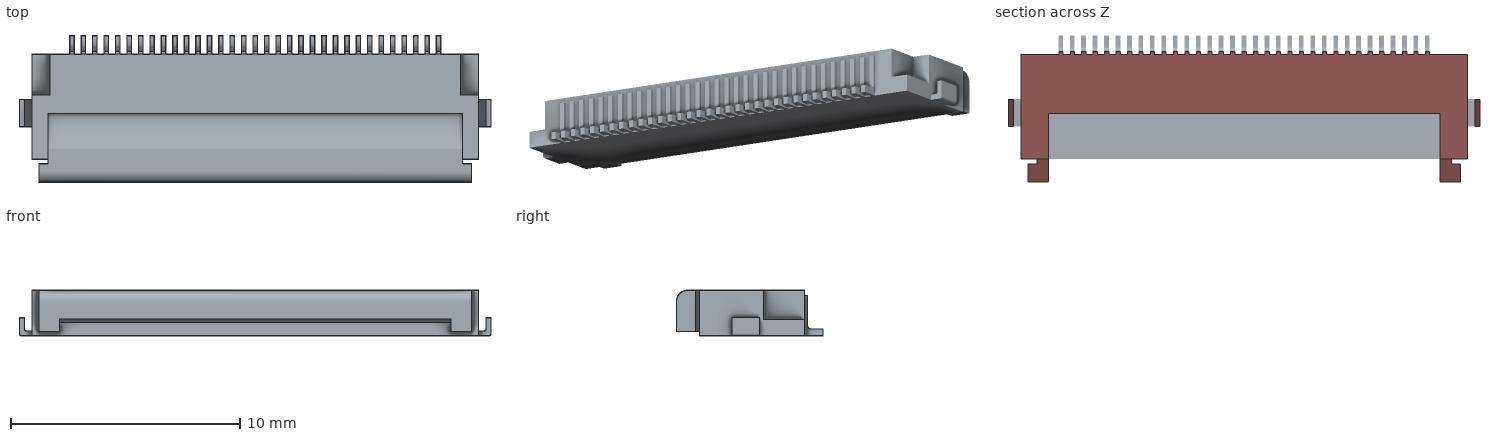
import cadquery as cq

overall_width = 20.6
height = 2.0

housing_width = 19.5
housing_depth = 4.6
step_width = 0.8
step_depth = 1.8
step_height = 0.72

slot_width = 17.08
slot_bottom = 0.6
slot_top = 0.75

tongue_width = 18.1
tongue_rear = 2.6
slope_front = 4.16
slope_drop = 0.3
bar_width = 18.9
bar_front = 5.6
bar_gap = 0.19
bar_round = 0.5
bar_bottom = 0.19

contact_count = 33
contact_row = 16.0
contact_width = 0.2
contact_reach = 0.8
contact_top = 1.77
contact_strip = 0.12
contact_foot = 0.3
contact_fillet = 0.16

clip_rear = 1.98
clip_length = 1.2
clip_height = 0.8
clip_thickness = 0.23
clip_outer_bend = 0.1
clip_inner_bend = 0.06


def box(width, y_front, y_rear, z_bottom, z_top):
    """Box centred on x = 0."""
    size = (width, y_rear - y_front, z_top - z_bottom)
    corner = (0, y_front, z_bottom)
    return cq.Workplane("XY").box(*size, centered=(True, False, False)).translate(corner)


def make_contact(x):
    """L-shaped contact: an upright strip on the rear face and a foot pointing backwards."""
    profile = (
        cq.Workplane("YZ")
        .lineTo(contact_reach, 0)
        .lineTo(contact_reach, contact_foot)
        .lineTo(contact_strip + contact_fillet, contact_foot)
        .radiusArc((contact_strip, contact_foot + contact_fillet), contact_fillet)
        .lineTo(contact_strip, contact_top)
        .lineTo(0, contact_top)
        .close()
    )
    return profile.extrude(contact_width / 2, both=True).translate((x, 0, 0))


def make_housing():
    body = box(housing_width, -housing_depth, 0, 0, height)

    step = box(step_width, -step_depth, 0, step_height, height)
    step_x = (housing_width - step_width) / 2
    for side in (-1, 1):
        body = body.cut(step.translate((side * step_x, 0, 0)))

    body = body.cut(box(tongue_width, -housing_depth, -tongue_rear, slot_top, height))
    body = body.cut(box(slot_width, -housing_depth, -tongue_rear, slot_bottom, slot_top))

    clip_front = clip_rear + clip_length
    body = body.cut(box(housing_width, -clip_front, -clip_rear, 0, clip_thickness))

    pitch = contact_row / (contact_count - 1)
    for i in range(contact_count):
        body = body.union(make_contact(i * pitch - contact_row / 2))
    return body


def make_actuator():
    tongue = (
        cq.Workplane("YZ")
        .moveTo(-tongue_rear, slot_top)
        .lineTo(-tongue_rear, height - slope_drop)
        .lineTo(-slope_front, height)
        .lineTo(-housing_depth, height)
        .lineTo(-housing_depth, slot_top)
        .close()
        .extrude(tongue_width / 2, both=True)
    )

    bar_rear = housing_depth + bar_gap
    neck = box(tongue_width, -bar_rear, -housing_depth, bar_bottom, height)
    bar = box(bar_width, -bar_front, -bar_rear, bar_bottom, height)
    bar = bar.edges("|X and >Z and <Y").fillet(bar_round)

    opening = box(slot_width, -bar_front, -housing_depth, bar_bottom, slot_top)
    return tongue.union(neck).union(bar).cut(opening)


def make_clip():
    outer = overall_width / 2
    inner = outer - clip_thickness
    profile = (
        cq.Workplane("XZ")
        .moveTo(-outer, clip_height)
        .lineTo(-outer, clip_outer_bend)
        .radiusArc((-outer + clip_outer_bend, 0), -clip_outer_bend)
        .lineTo(outer - clip_outer_bend, 0)
        .radiusArc((outer, clip_outer_bend), -clip_outer_bend)
        .lineTo(outer, clip_height)
        .lineTo(inner, clip_height)
        .lineTo(inner, clip_thickness + clip_inner_bend)
        .radiusArc((inner - clip_inner_bend, clip_thickness), clip_inner_bend)
        .lineTo(-inner + clip_inner_bend, clip_thickness)
        .radiusArc((-inner, clip_thickness + clip_inner_bend), clip_inner_bend)
        .lineTo(-inner, clip_height)
        .close()
    )
    return profile.extrude(clip_length).translate((0, -clip_rear, 0))


housing = make_housing()
actuator = make_actuator()
clip = make_clip()
result = cq.Compound.makeCompound([body.solids().val() for body in (housing, actuator, clip)])